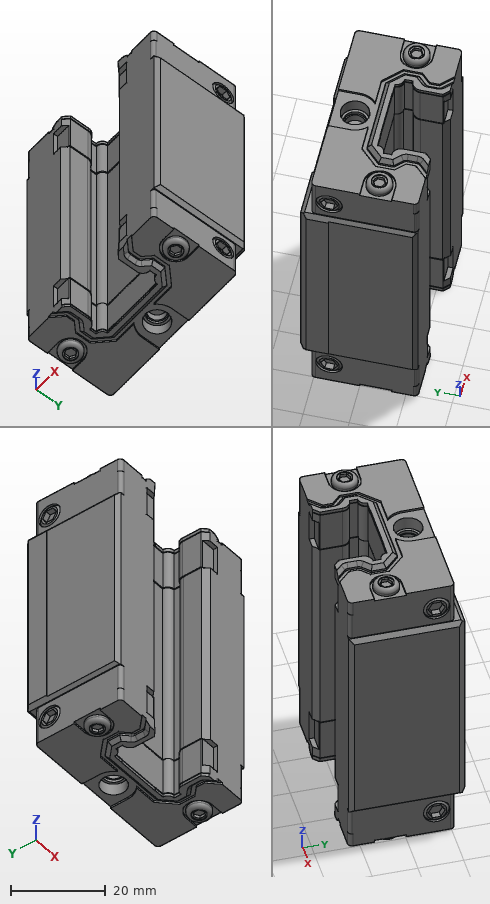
import cadquery as cq
import math


HALF_LENGTH = 35.3
BODY_END = 24.35
CAP_SPLIT = 30.85
CAP_END = 34.25
SEAL_END = 35.15
RECESS_DEPTH = 0.5
RECESS_FLOOR = CAP_END - RECESS_DEPTH

BODY_HALF_WIDTH = 44.0 / 2
BODY_HALF_HEIGHT = 25.5 / 2
FOOT_Y = -BODY_HALF_HEIGHT
BODY_CHAMFER = 1.0
BACK_CHAMFER = 1.55
PAD_INNER_X = 9.9
PAD_HEIGHT = 0.4
DATUM_STEP = 0.2
DATUM_STEP_Y = 6.35

CAP_HALF_WIDTH = 20.8
CAP_BACK_Y = 10.45
CAP_ROUND = 1.0
CAP_INNER_FOOT_RISE = 0.8

OPENING_TOP_Y = -1.05
OPENING_WALL_X = 7.9
OPENING_CHAMFER = 1.3
GROOVE_X = 9.9
GROOVE_BOTTOM_Y = -4.5
UPPER_NOSE_RADIUS = 1.7
CAP_CLEARANCE = 0.15
BODY_CLEARANCE = 0.35
SEAL_NOTCH_HALF_WIDTH = 5.65
SEAL_NOTCH_DEPTH = 0.1

SEAL_TOP_Y = 1.1
SEAL_SIDE_X = 12.0
SEAL_THROAT_X = 9.95
SEAL_TOP_HALF_WIDTH = 8.7
SEAL_SIDE_LOW_Y = -5.45
SEAL_THROAT_LOW_Y = -10.45
SEAL_THROAT_ROUND = 1.05
SEAL_BEVEL = SEAL_END - CAP_END
SEAL_GAP = 1.0

POCKET_OUTER_X = 12.0
POCKET_TOP = 31.9
POCKET_DEPTH = 1.1

PORT_Y = 5.7
PORT_LAND_RADIUS = 4.9
PORT_BORES = [(6.2, 3.05), (5.0, 3.75), (4.4, 5.65)]

SCREW_X = 17.3
SCREW_Y = -3.6
SCREW_LAND_RADIUS = 3.45
HEAD_DIAMETER = 5.7
HEAD_ROUND = 1.0
SOCKET_MOUTH_DIAMETER = 3.4
SOCKET_MOUTH_DEPTH = 0.3
SOCKET_ACROSS_CORNERS = 2.75
SOCKET_DEPTH = 1.05

PLUG_Y = 6.5
PLUG_Z = 28.6
PLUG_BORE = 5.7
PLUG_FACE = 4.4
PLUG_BEVEL_DEPTH = 0.6
PLUG_HEX_ACROSS_FLATS = 3.2
PLUG_HEX_DEPTH = 1.4

OVERCUT = 0.7
TAN_22 = math.tan(math.radians(22.5))


def prism(points, bottom, top):
    """Closed XY polygon extruded from z = bottom to z = top."""
    return cq.Workplane("XY").workplane(offset=bottom).polyline(points).close().extrude(top - bottom)


def block(x_range, y_range, z_range):
    """Axis-aligned block spanning the given ranges."""
    size = [high - low for low, high in (x_range, y_range, z_range)]
    corner = (x_range[0], y_range[0], z_range[0])
    return cq.Workplane("XY").box(*size, centered=False).translate(corner)


def cylinder(diameter, x, y, bottom, top):
    return cq.Workplane("XY").workplane(offset=bottom).center(x, y).circle(diameter / 2).extrude(top - bottom)


def both_sides(right_side):
    """A shape together with its mirror image across X = 0."""
    return right_side.union(right_side.mirror("YZ"))


def rail_opening(clearance, bottom, top):
    """Solid filling the rail opening, grown by the clearance."""
    wall = OPENING_WALL_X + clearance
    groove = GROOVE_X + clearance
    ceiling = OPENING_TOP_Y + clearance
    leg = OPENING_CHAMFER + clearance * TAN_22
    upper_y = ceiling - UPPER_NOSE_RADIUS
    upper_bow = UPPER_NOSE_RADIUS * math.sqrt(0.5)
    lower_radius = groove - wall
    lower_y = GROOVE_BOTTOM_Y - lower_radius
    lower_bow = lower_radius * math.sqrt(0.5)
    right = (
        cq.Workplane("XY").workplane(offset=bottom)
        .moveTo(0, ceiling)
        .lineTo(groove - UPPER_NOSE_RADIUS, ceiling)
        .threePointArc((groove - upper_bow, ceiling - upper_bow), (groove, upper_y))
        .lineTo(groove, GROOVE_BOTTOM_Y)
        .threePointArc((groove - lower_bow, lower_y + lower_bow), (wall, lower_y))
        .lineTo(wall, FOOT_Y + leg)
        .lineTo(wall + leg, FOOT_Y)
        .lineTo(wall + leg, FOOT_Y - OVERCUT)
        .lineTo(0, FOOT_Y - OVERCUT)
        .close()
        .extrude(top - bottom)
    )
    return both_sides(right)


def steel_body():
    left_face = -BODY_HALF_WIDTH + DATUM_STEP
    pad_floor = BODY_HALF_HEIGHT - PAD_HEIGHT
    profile = [
        (left_face + BODY_CHAMFER, FOOT_Y),
        (BODY_HALF_WIDTH - BODY_CHAMFER, FOOT_Y),
        (BODY_HALF_WIDTH, FOOT_Y + BODY_CHAMFER),
        (BODY_HALF_WIDTH, BODY_HALF_HEIGHT - BACK_CHAMFER),
        (BODY_HALF_WIDTH - BACK_CHAMFER, BODY_HALF_HEIGHT),
        (PAD_INNER_X, BODY_HALF_HEIGHT),
        (PAD_INNER_X, pad_floor),
        (-PAD_INNER_X, pad_floor),
        (-PAD_INNER_X, BODY_HALF_HEIGHT),
        (BACK_CHAMFER - BODY_HALF_WIDTH, BODY_HALF_HEIGHT),
        (-BODY_HALF_WIDTH, BODY_HALF_HEIGHT - BACK_CHAMFER),
        (-BODY_HALF_WIDTH, DATUM_STEP_Y),
        (left_face, DATUM_STEP_Y),
        (left_face, FOOT_Y + BODY_CHAMFER),
    ]
    side_bevels = (
        cq.Workplane("XZ").rect(2 * BODY_HALF_WIDTH, 2 * BODY_END)
        .extrude(BODY_HALF_HEIGHT, both=True)
        .edges("|Y").chamfer(BODY_CHAMFER)
    )
    back_bevels = (
        cq.Workplane("YZ").rect(2 * BODY_HALF_HEIGHT, 2 * BODY_END)
        .extrude(BODY_HALF_WIDTH, both=True)
        .edges("|X and >Y").chamfer(BODY_CHAMFER)
    )
    body = prism(profile, -BODY_END, BODY_END).intersect(side_bevels).intersect(back_bevels)
    return body.cut(rail_opening(BODY_CLEARANCE, -BODY_END, BODY_END))


def cap_block(foot_rise, bottom, top):
    """Plain cap block. Its foot corners are arcs that climb the side by the given rise."""
    right = (
        cq.Workplane("XY").workplane(offset=bottom)
        .moveTo(0, FOOT_Y)
        .lineTo(CAP_HALF_WIDTH - CAP_ROUND, FOOT_Y)
        .radiusArc((CAP_HALF_WIDTH, FOOT_Y + foot_rise), -CAP_ROUND)
        .lineTo(CAP_HALF_WIDTH, CAP_BACK_Y - CAP_ROUND)
        .radiusArc((CAP_HALF_WIDTH - CAP_ROUND, CAP_BACK_Y), -CAP_ROUND)
        .lineTo(0, CAP_BACK_Y)
        .close()
        .extrude(top - bottom)
    )
    return both_sides(right)


def seal_block(offset, bottom, top):
    """Solid inside the seal outline moved outward by the offset; it runs on below the cap feet."""
    corner = offset * TAN_22
    ceiling = SEAL_TOP_Y + offset
    side = SEAL_SIDE_X + offset
    throat = SEAL_THROAT_X + offset
    top_half_width = SEAL_TOP_HALF_WIDTH + corner
    side_low = SEAL_SIDE_LOW_Y - corner
    throat_low = SEAL_THROAT_LOW_Y + corner
    end_y = FOOT_Y - SEAL_BEVEL - OVERCUT
    right = [
        (top_half_width, ceiling),
        (side, ceiling - (side - top_half_width)),
        (side, side_low),
        (throat, side_low - (side - throat)),
        (throat, throat_low),
        (throat + throat_low - end_y, end_y),
    ]
    left = [(-x, y) for x, y in reversed(right)]
    return prism(right + left, bottom, top)


def end_seal():
    seal = seal_block(0, RECESS_FLOOR, SEAL_END)
    throat_high_y = SEAL_SIDE_LOW_Y - (SEAL_SIDE_X - SEAL_THROAT_X)
    for x in (-SEAL_THROAT_X, SEAL_THROAT_X):
        for y in (throat_high_y, SEAL_THROAT_LOW_Y):
            corner = cq.NearestToPointSelector((x, y, (RECESS_FLOOR + SEAL_END) / 2))
            seal = seal.edges(corner).fillet(SEAL_THROAT_ROUND)
    seal = seal.faces(">Z").chamfer(SEAL_BEVEL)
    seal = seal.intersect(
        block((-CAP_HALF_WIDTH, CAP_HALF_WIDTH), (FOOT_Y, CAP_BACK_Y), (RECESS_FLOOR, SEAL_END))
    )
    seal = seal.cut(rail_opening(CAP_CLEARANCE, RECESS_FLOOR, CAP_END))
    notch = block(
        (-SEAL_NOTCH_HALF_WIDTH, SEAL_NOTCH_HALF_WIDTH),
        (OPENING_TOP_Y - OVERCUT, OPENING_TOP_Y + SEAL_NOTCH_DEPTH),
        (CAP_END, SEAL_END),
    )
    return seal.cut(rail_opening(0, CAP_END, SEAL_END)).cut(notch)


def end_recesses():
    """Shallow recesses in the cap end face: around the seal, the grease port and the screws."""
    z_range = (RECESS_FLOOR, CAP_END + OVERCUT)
    seal_groove = seal_block(SEAL_GAP, *z_range)
    port_land = cylinder(2 * PORT_LAND_RADIUS, 0, PORT_Y, *z_range).union(
        block((-PORT_LAND_RADIUS, PORT_LAND_RADIUS), (PORT_Y, CAP_BACK_Y + OVERCUT), z_range)
    )
    screw_land = cylinder(2 * SCREW_LAND_RADIUS, SCREW_X, SCREW_Y, *z_range).union(
        block(
            (SCREW_X, CAP_HALF_WIDTH + OVERCUT),
            (SCREW_Y - SCREW_LAND_RADIUS, SCREW_Y + SCREW_LAND_RADIUS),
            z_range,
        )
    )
    return seal_groove.union(port_land).union(both_sides(screw_land))


def foot_pockets():
    pocket = block((0, POCKET_OUTER_X), (FOOT_Y - OVERCUT, FOOT_Y + POCKET_DEPTH), (BODY_END, POCKET_TOP))
    return both_sides(pocket)


def side_plugs():
    """Material removed around each plug: a ring with a sloping inner side, and a hexagon socket."""
    ring = (
        cq.Workplane("XY")
        .moveTo(PLUG_FACE / 2, 0)
        .lineTo(PLUG_BORE / 2, 0)
        .lineTo(PLUG_BORE / 2, -PLUG_BEVEL_DEPTH)
        .close()
        .revolve(360, (0, 0, 0), (0, 1, 0))
        .rotate((0, 0, 0), (0, 0, 1), -90)
        .translate((CAP_HALF_WIDTH, PLUG_Y, PLUG_Z))
    )
    across_corners = PLUG_HEX_ACROSS_FLATS / math.cos(math.radians(30))
    socket = (
        cq.Workplane("YZ").workplane(offset=CAP_HALF_WIDTH - PLUG_HEX_DEPTH)
        .center(PLUG_Y, PLUG_Z)
        .polygon(6, across_corners)
        .extrude(PLUG_HEX_DEPTH)
    )
    return both_sides(ring.union(socket))


def cap_screws():
    """Button heads with a hexagon socket below a shallow round mouth."""
    rim_radius = HEAD_DIAMETER / 2
    mouth_radius = SOCKET_MOUTH_DIAMETER / 2
    crest_radius = rim_radius - HEAD_ROUND
    rim_z = HALF_LENGTH - HEAD_ROUND
    mouth_z = rim_z + math.sqrt(HEAD_ROUND**2 - (crest_radius - mouth_radius) ** 2)
    head = (
        cq.Workplane("XZ")
        .moveTo(0, RECESS_FLOOR)
        .lineTo(rim_radius, RECESS_FLOOR)
        .lineTo(rim_radius, rim_z)
        .threePointArc((crest_radius, HALF_LENGTH), (mouth_radius, mouth_z))
        .lineTo(0, mouth_z)
        .close()
        .revolve(360, (0, 0, 0), (0, 1, 0))
        .translate((SCREW_X, SCREW_Y, 0))
    )
    mouth = cylinder(SOCKET_MOUTH_DIAMETER, SCREW_X, SCREW_Y, HALF_LENGTH - SOCKET_MOUTH_DEPTH, HALF_LENGTH)
    socket = (
        cq.Workplane("XY").workplane(offset=HALF_LENGTH - SOCKET_DEPTH)
        .center(SCREW_X, SCREW_Y)
        .transformed(rotate=(0, 0, 90))
        .polygon(6, SOCKET_ACROSS_CORNERS)
        .extrude(SOCKET_DEPTH)
    )
    return both_sides(head.cut(mouth).cut(socket))


def end_cap():
    """Complete cap at the +Z end, with its seal, grease port, plugs and screws."""
    cap = cap_block(CAP_INNER_FOOT_RISE, BODY_END, CAP_SPLIT).union(cap_block(CAP_ROUND, CAP_SPLIT, CAP_END))
    cap = cap.cut(rail_opening(CAP_CLEARANCE, BODY_END, CAP_END))
    cap = cap.cut(end_recesses()).cut(foot_pockets()).cut(side_plugs())
    for diameter, depth in PORT_BORES:
        cap = cap.cut(cylinder(diameter, 0, PORT_Y, RECESS_FLOOR - depth, RECESS_FLOOR))
    return cap.union(end_seal()).union(cap_screws())


cap = end_cap()
result = steel_body().union(cap).union(cap.mirror("XY"))